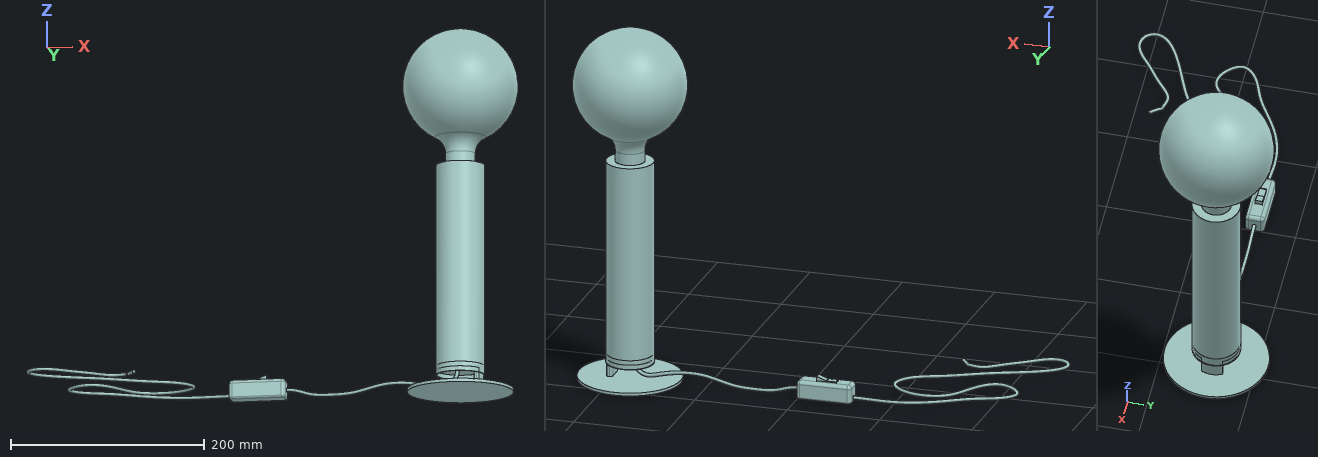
import cadquery as cq
import math


total_height = 382.5
bulb_radius = 60.0
neck_radius = 15.5
neck_blend_radius = 19.5

column_radius = 25.5
skirt_wall = 1.0
column_bottom = 18.0
column_top = 239.5
bulb_seat_depth = 5.0

foot_radius = 55.0
foot_thickness = 3.5
tab_width = 22.5
tab_thickness = 8.5
tab_outer_x = 24.5
tab_edge_radius = 3.0
plug_bottom = 23.0
plug_thickness = 5.0

switch_length = 59.5
switch_width = 20.5
switch_height = 20.5
switch_center_x = -212.5
switch_edge_radius = 4.0
switch_bottom_radius = 2.0
rocker_length = 21.5
rocker_width = 8.0
rocker_center_x = -213.7
rocker_low_rise = 1.0
rocker_high_rise = 5.0
rocker_depth = 2.0

cable_radius = 2.0
cable_rest_z = 5.0
lamp_cable_switch_z = 9.3

bulb_center_z = total_height - bulb_radius
skirt_inner_radius = column_radius - skirt_wall
plug_top = plug_bottom + plug_thickness
switch_left = switch_center_x - switch_length / 2
switch_right = switch_center_x + switch_length / 2

lamp_cable_points = [
    (switch_right, lamp_cable_switch_z),
    (-157.8, 4.0),
    (-136.5, 2.5),
    (-113.0, 4.0),
    (-81.5, 11.0),
    (-60.5, 12.0),
    (-31.0, 7.5),
    (-15.5, 6.0),
    (-9.3, 9.5),
    (-4.5, 16.5),
    (-2.5, plug_top),
]

loose_cable_points = [
    (switch_left, 0.0),
    (-283.0, 1.0),
    (-304.0, -3.0),
    (-333.5, -16.5),
    (-363.0, -33.5),
    (-395.0, -49.5),
    (-399.5, -58.0),
    (-394.0, -72.0),
    (-372.0, -82.0),
    (-355.0, -68.5),
    (-344.0, -50.5),
    (-331.5, -34.5),
    (-302.0, -28.0),
    (-283.0, -36.0),
    (-270.0, -54.0),
    (-277.0, -70.5),
    (-308.0, -87.5),
    (-355.0, -111.0),
    (-409.5, -136.0),
    (-421.0, -146.0),
    (-425.0, -155.5),
    (-421.0, -166.0),
    (-409.5, -171.0),
    (-400.5, -169.0),
    (-381.5, -155.5),
    (-363.5, -142.0),
    (-349.5, -130.5),
    (-339.5, -126.0),
    (-326.5, -129.0),
    (-317.0, -141.0),
]


def disc(radius, bottom, height):
    return cq.Workplane("XY").workplane(offset=bottom).circle(radius).extrude(height)


def make_bulb():
    """Revolve the globe, the neck and the concave arc tangent to both."""
    blend_center_x = neck_radius + neck_blend_radius
    center_distance = bulb_radius + neck_blend_radius
    drop = math.sqrt(center_distance**2 - blend_center_x**2)
    blend_center_z = bulb_center_z - drop
    share = bulb_radius / center_distance
    globe_end = (blend_center_x * share, bulb_center_z - drop * share)
    mid_angle = (math.pi + math.atan2(drop, -blend_center_x)) / 2
    blend_middle = (
        blend_center_x + neck_blend_radius * math.cos(mid_angle),
        blend_center_z + neck_blend_radius * math.sin(mid_angle),
    )
    profile = (
        cq.Workplane("XZ")
        .moveTo(0, column_top - bulb_seat_depth)
        .lineTo(neck_radius, column_top - bulb_seat_depth)
        .lineTo(neck_radius, blend_center_z)
        .threePointArc(blend_middle, globe_end)
        .threePointArc((bulb_radius, bulb_center_z), (0, total_height))
        .close()
    )
    return profile.revolve(360, (0, 0, 0), (0, 1, 0))


def make_column():
    body = disc(column_radius, column_bottom, column_top - column_bottom)
    plug_recess = disc(skirt_inner_radius, column_bottom, plug_top - column_bottom)
    bulb_seat = disc(neck_radius, column_top - bulb_seat_depth, bulb_seat_depth)
    return body.cut(plug_recess).cut(bulb_seat)


def make_stand(lamp_cable):
    """Foot and plug joined by the tab; the plug has a passage for the cable."""
    foot = disc(foot_radius, 0, foot_thickness)
    plug = disc(skirt_inner_radius, plug_bottom, plug_thickness)
    tab = (
        cq.Workplane("XY")
        .center(tab_outer_x - tab_thickness / 2, 0)
        .rect(tab_thickness, tab_width)
        .extrude(plug_top)
        .edges("|Z and <X")
        .fillet(tab_edge_radius)
        .intersect(disc(skirt_inner_radius, 0, plug_top))
    )
    return foot.union(tab).union(plug).cut(lamp_cable)


def make_rocker():
    """Rocker switched to the +X side, seated in a shallow recess."""
    half_length = rocker_length / 2
    return (
        cq.Workplane("XZ", origin=(rocker_center_x, 0, switch_height))
        .moveTo(-half_length, -rocker_depth)
        .lineTo(half_length, -rocker_depth)
        .lineTo(half_length, rocker_high_rise)
        .lineTo(0, rocker_low_rise)
        .lineTo(-half_length, rocker_low_rise)
        .close()
        .extrude(rocker_width / 2, both=True)
    )


def make_switch_housing():
    recess = (
        cq.Workplane("XY", origin=(rocker_center_x, 0, switch_height - rocker_depth))
        .rect(rocker_length, rocker_width)
        .extrude(rocker_depth)
    )
    return (
        cq.Workplane("XY")
        .center(switch_center_x, 0)
        .rect(switch_length, switch_width)
        .extrude(switch_height)
        .edges("|Z or >Z")
        .fillet(switch_edge_radius)
        .faces("<Z")
        .edges()
        .fillet(switch_bottom_radius)
        .cut(recess)
    )


def make_cable(points):
    """Sweep a round cable that leaves its first point along X."""
    leave = cq.Vector(math.copysign(1, points[1].x - points[0].x), 0, 0)
    arrive = points[-1] - points[-2]
    path = cq.Workplane("XY").spline(points, tangents=[leave, arrive.normalized()])
    section = cq.Workplane(cq.Plane(points[0], (0, 1, 0), leave)).circle(cable_radius)
    return section.sweep(path)


bulb = make_bulb()
column = make_column()
lamp_cable = make_cable([cq.Vector(x, 0, z) for x, z in lamp_cable_points])
loose_cable = make_cable([cq.Vector(x, y, cable_rest_z) for x, y in loose_cable_points])
stand = make_stand(lamp_cable)
switch_housing = make_switch_housing()
rocker = make_rocker()

result = cq.Compound.makeCompound(
    [
        bulb.val(),
        column.val(),
        stand.val(),
        switch_housing.val(),
        rocker.val(),
        lamp_cable.val(),
        loose_cable.val(),
    ]
)